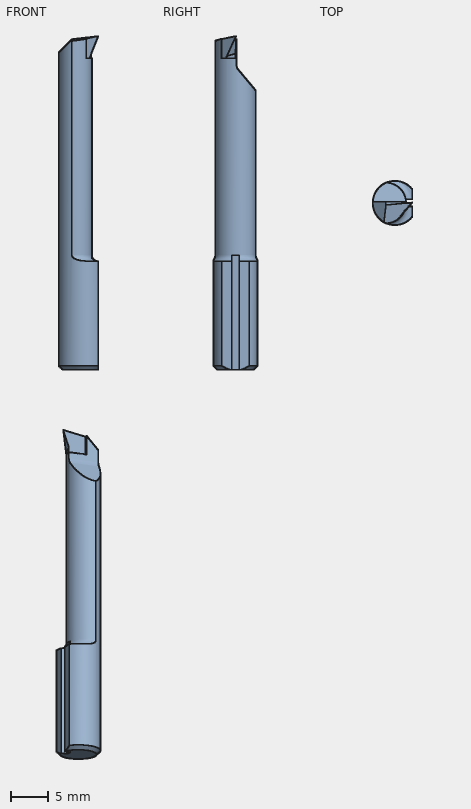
import cadquery as cq
import math

total_height = 45.0
shank_diameter = 6.0
shank_width = 5.35
shank_radius = shank_diameter / 2
flat_x = shank_width - shank_radius
bottom_chamfer = 0.55

shoulder_z = 14.65
neck_axis_x = -1.2
neck_radius = math.sqrt(shank_radius**2 - neck_axis_x**2)
neck_fillet = 0.8

groove_width = 0.95
groove_floor_x = 1.5

face_y = 0.158
slope_start_y = 0.35
slope_start_z = 40.5
slope_angle = 40.0
runout_radius = 1.0

tip_x = flat_x
tip_y = 0.068
flank_start_x = 0.7
flank_inset = 0.112
heel_x = 1.45
heel_relief_angle = 7.0
flank_bottom_z = 42.0
undercut_slope = 0.4
rake_end_x = -1.2
rake_end_y = -0.25
top_relief_angle = 6.0
corner_chamfer_z = 42.8

margin = 4.5
far = shank_radius + margin
above = total_height + margin


def box(x_range, y_range, z_range):
    """Box between the given limits."""
    (x0, x1), (y0, y1), (z0, z1) = x_range, y_range, z_range
    return cq.Workplane("XY").box(x1 - x0, y1 - y0, z1 - z0, centered=False).translate((x0, y0, z0))


def prism_along_y(points):
    """Prism through the whole part, in Y, from an XZ outline."""
    return cq.Workplane("XZ").polyline(points).close().extrude(margin, both=True)


def prism_along_z(points, z0, z1):
    """Upright prism from an XY outline."""
    return cq.Workplane("XY").workplane(offset=z0).polyline(points).close().extrude(z1 - z0)


def make_blank():
    """Chamfered round bar with the flat on its +X side."""
    bar = cq.Workplane("XY").circle(shank_radius).extrude(total_height)
    bar = bar.faces("<Z").chamfer(bottom_chamfer)
    return bar.cut(box((flat_x, far), (-far, far), (-margin, above)))


def make_neck_clearance():
    """Material around the neck, leaving a fillet at the shoulder."""
    fillet_top_z = shoulder_z + neck_fillet
    fillet_outer = neck_radius + neck_fillet
    bend = neck_fillet * (1 - math.sqrt(0.5))
    ring = (
        cq.Workplane("XZ")
        .moveTo(neck_radius, above)
        .lineTo(neck_radius, fillet_top_z)
        .threePointArc((neck_radius + bend, shoulder_z + bend), (fillet_outer, shoulder_z))
        .lineTo(far, shoulder_z)
        .lineTo(far, above)
        .close()
        .revolve(360, (0, 0, 0), (0, 1, 0))
        .translate((neck_axis_x, 0, 0))
    )
    return ring.intersect(box((neck_axis_x, far), (-far, far), (0, above)))


def make_groove():
    """Coolant groove from the bottom end up through the shoulder."""
    half_width = groove_width / 2
    return box((groove_floor_x, far), (-half_width, half_width), (-margin, shoulder_z + neck_fillet))


def flank_start_y():
    """Y where the flank begins, just inside the neck surface."""
    return flank_inset - math.sqrt(neck_radius**2 - (flank_start_x - neck_axis_x)**2)


def make_tip_nose():
    """Nose reaching past the neck to the cutting corner, undercut below."""
    plan = [(flank_start_x, flank_start_y()), (tip_x, tip_y), (tip_x, face_y), (flank_start_x, face_y)]
    nose = prism_along_z(plan, flank_bottom_z, total_height)
    undercut_run = undercut_slope * (total_height - flank_bottom_z)
    undercut = prism_along_y([
        (tip_x, total_height),
        (tip_x - undercut_run, flank_bottom_z),
        (far, flank_bottom_z),
        (far, total_height),
    ])
    return nose.cut(undercut)


def make_flank_cut():
    """Trims the neck outside the flank line."""
    plan = [
        (flank_start_x, flank_start_y()),
        (tip_x, tip_y),
        (tip_x, -far),
        (flank_start_x, -far),
    ]
    return prism_along_z(plan, flank_bottom_z, above)


def make_heel_cut():
    """Sets the neck back to the heel, beside and below the nose."""
    relief_run = (far + face_y) * math.tan(math.radians(heel_relief_angle))
    plan = [(heel_x, face_y), (heel_x - relief_run, -far), (far, -far), (far, face_y)]
    return prism_along_z(plan, flank_bottom_z, above)


def make_face_cut():
    """Removes the +Y half of the upper end, with a rounded run-out into the slope."""
    slope = math.radians(slope_angle)
    tangent = runout_radius * math.tan(slope / 2)
    corner_z = slope_start_z + (slope_start_y - face_y) / math.tan(slope)
    arc_center_y = face_y + runout_radius
    arc_start_z = corner_z + tangent
    arc_end = (face_y + tangent * math.sin(slope), corner_z - tangent * math.cos(slope))
    arc_middle = (
        arc_center_y - runout_radius * math.cos(slope / 2),
        arc_start_z - runout_radius * math.sin(slope / 2),
    )
    return (
        cq.Workplane("YZ")
        .moveTo(face_y, above)
        .lineTo(face_y, arc_start_z)
        .threePointArc(arc_middle, arc_end)
        .lineTo(far, corner_z - (far - face_y) / math.tan(slope))
        .lineTo(far, above)
        .close()
        .extrude(far, both=True)
    )


def make_rake_cut():
    """Shallow pocket forming the slanted rake face behind the cutting corner."""
    plan = [(rake_end_x, rake_end_y), (tip_x, tip_y), (far, tip_y), (far, far), (rake_end_x, far)]
    return prism_along_z(plan, flank_bottom_z, above)


def make_top_cut():
    """Everything above the top face, which falls away from the cutting corner."""
    fall = math.tan(math.radians(top_relief_angle))
    top_plane = cq.Plane(
        origin=(tip_x, tip_y, total_height),
        xDir=(1, 0, fall),
        normal=(-fall, -fall, 1),
    )
    slab_side = 4 * far
    return cq.Workplane(top_plane).rect(slab_side, slab_side).extrude(margin)


def make_corner_cut():
    """45 degree chamfer on the -X upper corner."""
    rise = above - corner_chamfer_z
    return prism_along_y([
        (-far, corner_chamfer_z - margin),
        (-shank_radius + rise, above),
        (-far, above),
    ])


result = (
    make_blank()
    .cut(make_neck_clearance())
    .cut(make_groove())
    .cut(make_heel_cut())
    .union(make_tip_nose())
    .cut(make_flank_cut())
    .cut(make_face_cut())
    .cut(make_rake_cut())
    .cut(make_top_cut())
    .cut(make_corner_cut())
)